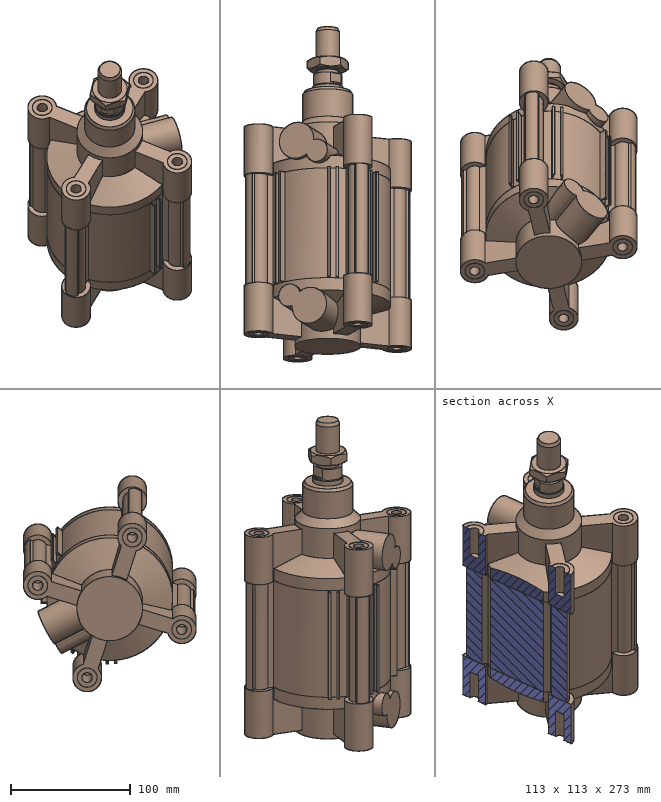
import cadquery as cq
import math


total_height = 273.0
cap_height = 41.8
pilot_height = 4.0
end_cap_top = pilot_height + cap_height
barrel_length = 94.5
front_cap_base = end_cap_top + barrel_length
front_cap_top = front_cap_base + cap_height

lug_spacing = 44.5
lug_diameter = 24.0
lug_hole_diameter = 8.5
lug_hole_depth = 27.3
lug_recess_diameter = 16.5
lug_recess_depth = 0.3
disc_diameter = 105.0
disc_height = 10.6
cone_height = 9.0
hub_diameter = 55.0
arm_width = 13.0

nose_diameter = 42.0
nose_base = 192.7
nose_top = 218.7
nose_chamfer_height = 2.5
nose_chamfer_inset = 1.6

boss_end = lug_spacing + lug_diameter / 2
port_diameter = 30.8
port_x = 5.7
port_z = 24.3
screw_boss_diameter = 19.0
screw_boss_x = -12.3
screw_boss_z = 14.0

barrel_diameter = disc_diameter
rail_diameter = 16.0
web_width = 12.0
rim_offset = 3.0
neck_width = 11.0
channel_angle = 26.0
channel_width = 9.0
channel_reach = 57.5
channel_mouth = 5.0
channel_wall = 1.0

rod_diameter = 25.0
rod_shoulder = 222.8
shank_diameter = 24.0
shank_base = 223.5
shank_top = 233.1
wrench_flats = 21.3
wrench_angle = -29.0
wrench_base = 225.0
neck_diameter = 18.5
thread_diameter = 20.0
thread_base = 237.0
thread_lead = 0.8
tip_diameter = 17.2
tip_height = 3.0

nut_flats = 30.0
nut_base = 237.2
nut_height = 9.0
nut_face_diameter = 29.0
nut_chamfer_height = 1.6


def disc(diameter, base, height):
    return cq.Workplane("XY").workplane(offset=base).circle(diameter / 2).extrude(height)


def at_lugs(base):
    """Workplane with the four lug axes on its stack."""
    side = 2 * lug_spacing
    return cq.Workplane("XY").workplane(offset=base).rect(side, side, forConstruction=True).vertices()


def y_cylinder(diameter, x, z):
    """Cylinder along Y, from the cylinder axis out to the boss end face."""
    return cq.Workplane("XZ").center(x, z).circle(diameter / 2).extrude(-boss_end)


def make_bosses():
    bridge_width = port_x - screw_boss_x
    bridge_height = screw_boss_diameter / 2
    bridge = (
        cq.Workplane("XZ")
        .center(screw_boss_x, screw_boss_z)
        .rect(bridge_width, bridge_height, centered=False)
        .extrude(-boss_end)
    )
    port = y_cylinder(port_diameter, port_x, port_z)
    return port.union(y_cylinder(screw_boss_diameter, screw_boss_x, screw_boss_z)).union(bridge)


def make_cap():
    """Cap with its inner face on z = 0 and its lugs pointing up."""
    disc_radius = disc_diameter / 2
    hub_radius = hub_diameter / 2
    cap = (
        cq.Workplane("XZ")
        .moveTo(0, 0)
        .lineTo(disc_radius, 0)
        .lineTo(disc_radius, disc_height)
        .lineTo(hub_radius, disc_height + cone_height)
        .lineTo(hub_radius, cap_height + pilot_height)
        .lineTo(0, cap_height + pilot_height)
        .close()
        .revolve(360, (0, 0, 0), (0, 1, 0))
    )
    arm_span = 2 * math.sqrt(2) * lug_spacing
    for angle in (45, -45):
        arm = cq.Workplane("XY").rect(arm_span, arm_width).extrude(cap_height)
        cap = cap.union(arm.rotate((0, 0, 0), (0, 0, 1), angle))
    cap = cap.union(at_lugs(0).circle(lug_diameter / 2).extrude(cap_height))
    cap = cap.union(make_bosses())
    cap = cap.cut(at_lugs(cap_height).circle(lug_recess_diameter / 2).extrude(-lug_recess_depth))
    return cap.cut(at_lugs(cap_height).circle(lug_hole_diameter / 2).extrude(-lug_hole_depth))


def make_end_cap():
    """The same cap turned upside down about the Y axis."""
    return make_cap().rotate((0, 0, 0), (0, 1, 0), 180).translate((0, 0, end_cap_top))


def make_front_cap():
    pilot_top = front_cap_top + pilot_height
    shoulder = (
        cq.Workplane("XY")
        .workplane(offset=pilot_top)
        .circle(hub_diameter / 2)
        .workplane(offset=nose_base - pilot_top)
        .circle(nose_diameter / 2)
        .loft()
    )
    nose = disc(nose_diameter, nose_base, nose_top - nose_base)
    nose = nose.faces(">Z").edges().chamfer(nose_chamfer_height, nose_chamfer_inset)
    cap = make_cap().translate((0, 0, front_cap_base)).union(shoulder).union(nose)
    return cap.cut(disc(rod_diameter, front_cap_base, nose_top - front_cap_base))


def barrel_bar(start, end, width):
    """Bar as long as the barrel, centred on +X, reaching from one distance off the axis to another."""
    bar = cq.Workplane("XY").box(end - start, width, barrel_length, centered=(False, True, False))
    return bar.translate((start, 0, 0))


def make_channel():
    """C-shaped sensor channel along +X, open outwards."""
    root = barrel_diameter / 2 - channel_wall
    outer = barrel_bar(root, channel_reach, channel_width)
    cavity = barrel_bar(root, channel_reach - channel_wall, channel_width - 2 * channel_wall)
    mouth = barrel_bar(root, channel_reach, channel_mouth)
    return outer.cut(cavity).cut(mouth)


def make_rail():
    """Round rail on its web along +X, with a rounded rim set off by a groove on each side."""
    rail_distance = math.sqrt(2) * lug_spacing
    rail_radius = rail_diameter / 2
    chord_offset = math.sqrt(rail_radius**2 - (web_width / 2) ** 2)
    rim_center = rail_distance + rim_offset
    rim_start = rim_center + chord_offset
    cylinder = disc(rail_diameter, 0, barrel_length)
    rim = cylinder.translate((rim_center, 0, 0))
    rim = rim.intersect(barrel_bar(rim_start, rim_center + rail_radius, web_width))
    rail = cylinder.translate((rail_distance, 0, 0))
    rail = rail.union(barrel_bar(0, rail_distance, web_width))
    return rail.union(barrel_bar(rail_distance, rim_start, neck_width)).union(rim)


def make_barrel():
    barrel = disc(barrel_diameter, 0, barrel_length)
    for corner in range(4):
        barrel = barrel.union(make_rail().rotate((0, 0, 0), (0, 0, 1), 45 + 90 * corner))
    for angle in (channel_angle, 90 - channel_angle, 90 + channel_angle, 180 - channel_angle):
        barrel = barrel.union(make_channel().rotate((0, 0, 0), (0, 0, 1), angle))
    return barrel.translate((0, 0, end_cap_top))


def make_rod():
    rod = (
        cq.Workplane("XZ")
        .moveTo(0, front_cap_base)
        .lineTo(rod_diameter / 2, front_cap_base)
        .lineTo(rod_diameter / 2, rod_shoulder)
        .lineTo(shank_diameter / 2, shank_base)
        .lineTo(shank_diameter / 2, shank_top)
        .lineTo(neck_diameter / 2, shank_top)
        .lineTo(neck_diameter / 2, thread_base - thread_lead)
        .lineTo(thread_diameter / 2, thread_base)
        .lineTo(thread_diameter / 2, total_height - tip_height)
        .lineTo(tip_diameter / 2, total_height)
        .lineTo(0, total_height)
        .close()
        .revolve(360, (0, 0, 0), (0, 1, 0))
    )
    for side in (wrench_angle, wrench_angle + 180):
        flat = (
            cq.Workplane("XY")
            .box(shank_diameter, shank_diameter, shank_top - wrench_base, centered=(False, True, False))
            .translate((wrench_flats / 2, 0, wrench_base))
            .rotate((0, 0, 0), (0, 0, 1), side)
        )
        rod = rod.cut(flat)
    return rod


def make_nut():
    corner_diameter = nut_flats / math.cos(math.pi / 6)
    hexagon = (
        cq.Workplane("XY")
        .workplane(offset=nut_base)
        .polygon(6, corner_diameter)
        .extrude(nut_height)
        .rotate((0, 0, 0), (0, 0, 1), 30)
    )
    face_inset = (corner_diameter - nut_face_diameter) / 2
    bevelled = disc(corner_diameter, nut_base, nut_height).edges().chamfer(nut_chamfer_height, face_inset)
    return hexagon.intersect(bevelled).cut(disc(thread_diameter, nut_base, nut_height))


end_cap = make_end_cap()
barrel = make_barrel()
front_cap = make_front_cap()
rod = make_rod()
nut = make_nut()

result = cq.Compound.makeCompound([end_cap.val(), barrel.val(), front_cap.val(), rod.val(), nut.val()])